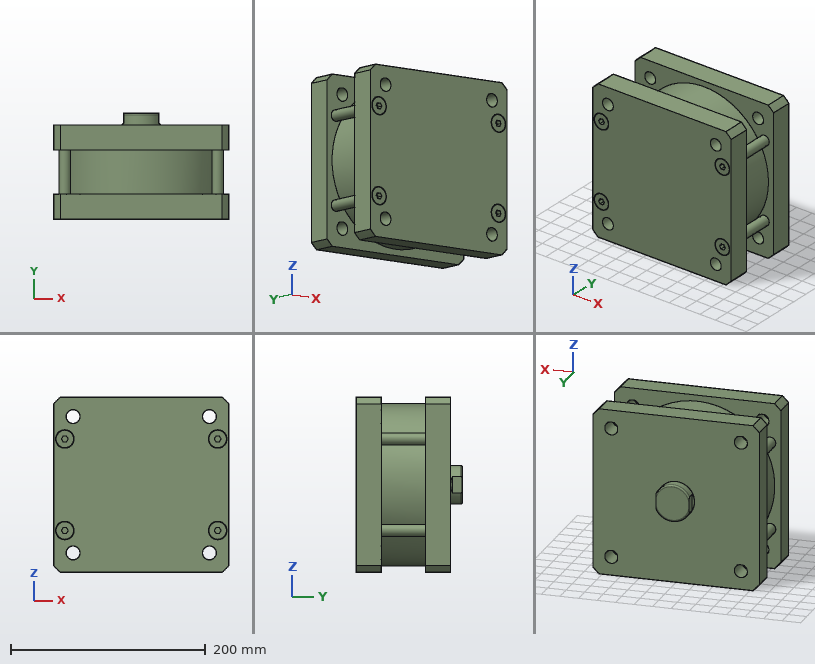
import cadquery as cq
import math

PLATE_SIDE = 180.0
PLATE_THICKNESS = 26.0
PLATE_CORNER_DIAMETER = 245.0
BARREL_DIAMETER = 167.0
BARREL_LENGTH = 45.0
ROD_DIAMETER = 40.0
ROD_PROJECTION = 12.0
ROD_END_FILLET = 1.75

barrel_start = PLATE_THICKNESS
rear_plate_start = barrel_start + BARREL_LENGTH
rear_face = rear_plate_start + PLATE_THICKNESS
rod_end = rear_face + ROD_PROJECTION

FLATS_WIDTH = 36.0
FLATS_LENGTH = 10.0

MOUNTING_HOLE_DIAMETER = 14.0
MOUNTING_HOLE_OFFSET = 70.0

TIE_BOLT_X = 78.5
TIE_BOLT_Z = 47.0
TIE_BOLT_DIAMETER = 12.0
HEAD_DIAMETER = 18.0
COUNTERBORE_DIAMETER = 19.0
COUNTERBORE_DEPTH = 12.0
SOCKET_ACROSS_FLATS = 6.0
SOCKET_DEPTH = 6.0


def four_corners(x, z):
    """The four (X, Z) places mirrored about the part's axis."""
    return [(side_x * x, side_z * z) for side_x in (-1, 1) for side_z in (-1, 1)]


MOUNTING_HOLES = four_corners(MOUNTING_HOLE_OFFSET, MOUNTING_HOLE_OFFSET)
TIE_BOLTS = four_corners(TIE_BOLT_X, TIE_BOLT_Z)


def plane_at(y):
    """Work plane at depth y: local x is X, local y is -Z, extrusion goes toward +Y."""
    return cq.Workplane(cq.Plane(origin=(0, y, 0), xDir=(1, 0, 0), normal=(0, 1, 0)))


def at_xz(y, places):
    """Push points given as (X, Z) onto the plane at depth y."""
    return plane_at(y).pushPoints([(x, -z) for x, z in places])


def make_plate(start):
    """Square plate whose corners are turned down to a large common diameter."""
    plate = plane_at(start).rect(PLATE_SIDE, PLATE_SIDE).extrude(PLATE_THICKNESS)
    turned_blank = plane_at(start).circle(PLATE_CORNER_DIAMETER / 2).extrude(PLATE_THICKNESS)
    holes = at_xz(start, MOUNTING_HOLES).circle(MOUNTING_HOLE_DIAMETER / 2).extrude(PLATE_THICKNESS)
    return plate.intersect(turned_blank).cut(holes)


def make_barrel():
    return plane_at(barrel_start).circle(BARREL_DIAMETER / 2).extrude(BARREL_LENGTH)


def make_rod_end():
    rod_radius = ROD_DIAMETER / 2
    rod = plane_at(rear_face).circle(rod_radius).extrude(ROD_PROJECTION)
    rod = rod.faces(">Y").edges().fillet(ROD_END_FILLET)
    flat_x = FLATS_WIDTH / 2
    runout = rod_radius - flat_x
    flat_start = rod_end - FLATS_LENGTH
    flat_cut = (
        cq.Workplane("XY")
        .moveTo(flat_x, flat_start)
        .lineTo(rod_radius, flat_start - runout)
        .lineTo(rod_radius, rod_end)
        .lineTo(flat_x, rod_end)
        .close()
        .extrude(rod_radius, both=True)
    )
    return rod.cut(flat_cut).cut(flat_cut.mirror("YZ"))


def make_counterbores():
    return at_xz(0, TIE_BOLTS).circle(COUNTERBORE_DIAMETER / 2).extrude(COUNTERBORE_DEPTH)


def make_tie_bolts():
    heads = at_xz(0, TIE_BOLTS).circle(HEAD_DIAMETER / 2).extrude(COUNTERBORE_DEPTH)
    socket_across_corners = SOCKET_ACROSS_FLATS / math.cos(math.pi / 6)
    sockets = at_xz(0, TIE_BOLTS).polygon(6, socket_across_corners).extrude(SOCKET_DEPTH)
    shank_length = rear_plate_start - COUNTERBORE_DEPTH
    shanks = at_xz(COUNTERBORE_DEPTH, TIE_BOLTS).circle(TIE_BOLT_DIAMETER / 2).extrude(shank_length)
    return heads.cut(sockets).union(shanks)


front_plate = make_plate(0).cut(make_counterbores())
result = (
    front_plate
    .union(make_barrel())
    .union(make_plate(rear_plate_start))
    .union(make_rod_end())
    .union(make_tie_bolts())
)